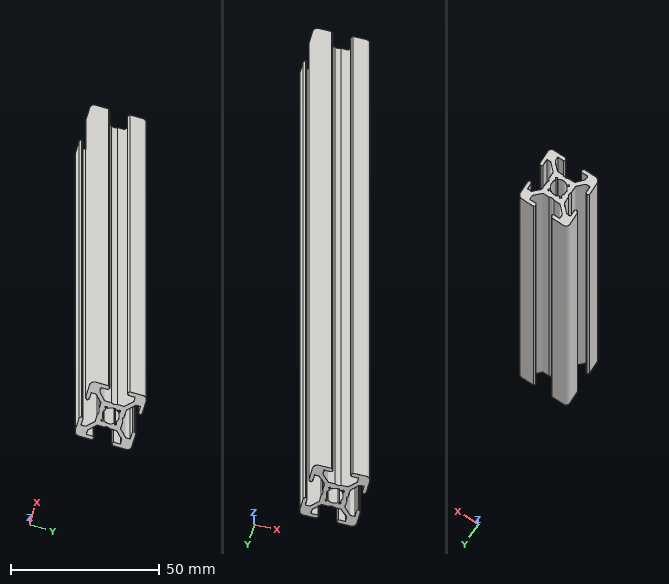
import cadquery as cq
side = 60 / 3
length = 300.0
half_side = side / 2
corner_radius = 1.65

half_opening = 3.15
lip_thickness = 1.35
outer_lip_chamfer = 0.5
inner_lip_chamfer = 0.45
half_cavity = 6.0
floor_height = 4.5
web_offset = 1.05
web_root_radius = 0.3
web_tip_radius = 0.5

groove_depth = 0.45
groove_half_width = 1.05
groove_radius = 1.5

bore_diameter = 5.7
relief_reach = 3.5
relief_width = 0.5

groove_bottom = (0, floor_height - groove_depth)
web_root = (floor_height - web_offset, floor_height)
web_tip = (half_cavity, half_cavity + web_offset)


def mirrored(point):
    """The same point on the other side of the slot's centre plane."""
    return (-point[0], point[1])


def slot_outline():
    """Sharp-cornered outline of the +Y slot, including the groove in its floor."""
    lip_underside = half_side - lip_thickness
    right_half = [
        (groove_half_width, floor_height),
        web_root,
        web_tip,
        (half_cavity, lip_underside),
        (half_opening + inner_lip_chamfer, lip_underside),
        (half_opening, lip_underside + inner_lip_chamfer),
        (half_opening, half_side - outer_lip_chamfer),
        (half_opening + outer_lip_chamfer, half_side),
    ]
    left_half = [mirrored(point) for point in reversed(right_half)]
    return [groove_bottom] + right_half + left_half


def round_edge(solid, point, radius):
    """Fillet the long edge that passes through an XY point."""
    middle = (point[0], point[1], length / 2)
    return solid.edges(cq.NearestToPointSelector(middle)).fillet(radius)


def make_slot():
    """Solid to be removed for the +Y slot."""
    slot = cq.Workplane("XY").polyline(slot_outline()).close().extrude(length)
    slot = round_edge(slot, groove_bottom, groove_radius)
    for corner, radius in ((web_root, web_root_radius), (web_tip, web_tip_radius)):
        slot = round_edge(slot, corner, radius)
        slot = round_edge(slot, mirrored(corner), radius)
    return slot


def make_bar():
    """Square bar with rounded long edges."""
    bar = cq.Workplane("XY").rect(side, side).extrude(length)
    return bar.edges("|Z").fillet(corner_radius)


def make_bore():
    """Round bore crossed by two diagonal channels."""
    bore = cq.Workplane("XY").circle(bore_diameter / 2).extrude(length)
    channel = cq.Workplane("XY").rect(2 * relief_reach, relief_width).extrude(length)
    for angle in (45, 135):
        bore = bore.union(channel.rotate((0, 0, 0), (0, 0, 1), angle))
    return bore


result = make_bar().cut(make_bore())
slot = make_slot()
for quarter_turn in range(4):
    result = result.cut(slot.rotate((0, 0, 0), (0, 0, 1), 90 * quarter_turn))